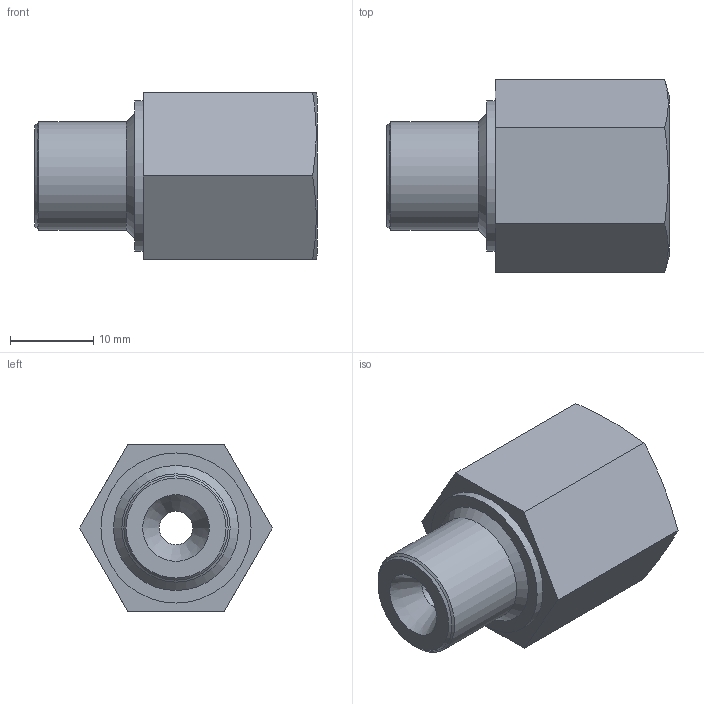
import cadquery as cq
import math

TOTAL_LENGTH = 33.9
SPIGOT_LENGTH = 12.0
COLLAR_THICKNESS = 1.0

SPIGOT_RADIUS = 6.5
TIP_RADIUS = 6.0
TIP_STEP_RADIUS = 6.25
TIP_STEP_LENGTH = 0.3
TIP_LENGTH = 0.5
FLARE_RADIUS = 7.5
FLARE_ANGLE = 45.0

COLLAR_RADIUS = 9.0
ACROSS_FLATS = 20.0
HEX_CHAMFER_FACE_RADIUS = 9.5
HEX_CHAMFER_ANGLE = 15.0
ENVELOPE_CLEARANCE = 1.0

BORE_RADIUS = 2.0
BORE_CONE_RADIUS = 4.0
BORE_CONE_HALF_ANGLE = 30.0

hex_start = SPIGOT_LENGTH + COLLAR_THICKNESS
hex_corner_radius = ACROSS_FLATS / 2 / math.cos(math.radians(30))


def revolve_about_x(outline):
    """Turn a closed (x, radius) outline about the X axis."""
    return cq.Workplane("XY").polyline(outline).close().revolve(360, (0, 0, 0), (1, 0, 0))


def make_spigot_and_collar():
    flare_length = (FLARE_RADIUS - SPIGOT_RADIUS) / math.tan(math.radians(FLARE_ANGLE))
    return revolve_about_x([
        (0, 0),
        (0, TIP_RADIUS),
        (TIP_STEP_LENGTH, TIP_STEP_RADIUS),
        (TIP_LENGTH, SPIGOT_RADIUS),
        (SPIGOT_LENGTH - flare_length, SPIGOT_RADIUS),
        (SPIGOT_LENGTH, FLARE_RADIUS),
        (SPIGOT_LENGTH, COLLAR_RADIUS),
        (hex_start, COLLAR_RADIUS),
        (hex_start, 0),
    ])


def make_hexagon():
    """Hexagon with flats on +Z and -Z, its far end turned to a shallow cone."""
    prism = (
        cq.Workplane("YZ", origin=(hex_start, 0, 0))
        .polygon(6, 2 * hex_corner_radius)
        .extrude(TOTAL_LENGTH - hex_start)
    )
    envelope_radius = hex_corner_radius + ENVELOPE_CLEARANCE
    chamfer_drop = envelope_radius - HEX_CHAMFER_FACE_RADIUS
    chamfer_length = chamfer_drop * math.tan(math.radians(HEX_CHAMFER_ANGLE))
    envelope = revolve_about_x([
        (hex_start, 0),
        (hex_start, envelope_radius),
        (TOTAL_LENGTH - chamfer_length, envelope_radius),
        (TOTAL_LENGTH, HEX_CHAMFER_FACE_RADIUS),
        (TOTAL_LENGTH, 0),
    ])
    return prism.intersect(envelope)


def make_bore():
    """Through bore with a conical seat opening at the spigot tip."""
    cone_depth = (BORE_CONE_RADIUS - BORE_RADIUS) / math.tan(math.radians(BORE_CONE_HALF_ANGLE))
    return revolve_about_x([
        (0, 0),
        (0, BORE_CONE_RADIUS),
        (cone_depth, BORE_RADIUS),
        (TOTAL_LENGTH, BORE_RADIUS),
        (TOTAL_LENGTH, 0),
    ])


result = make_spigot_and_collar().union(make_hexagon()).cut(make_bore())